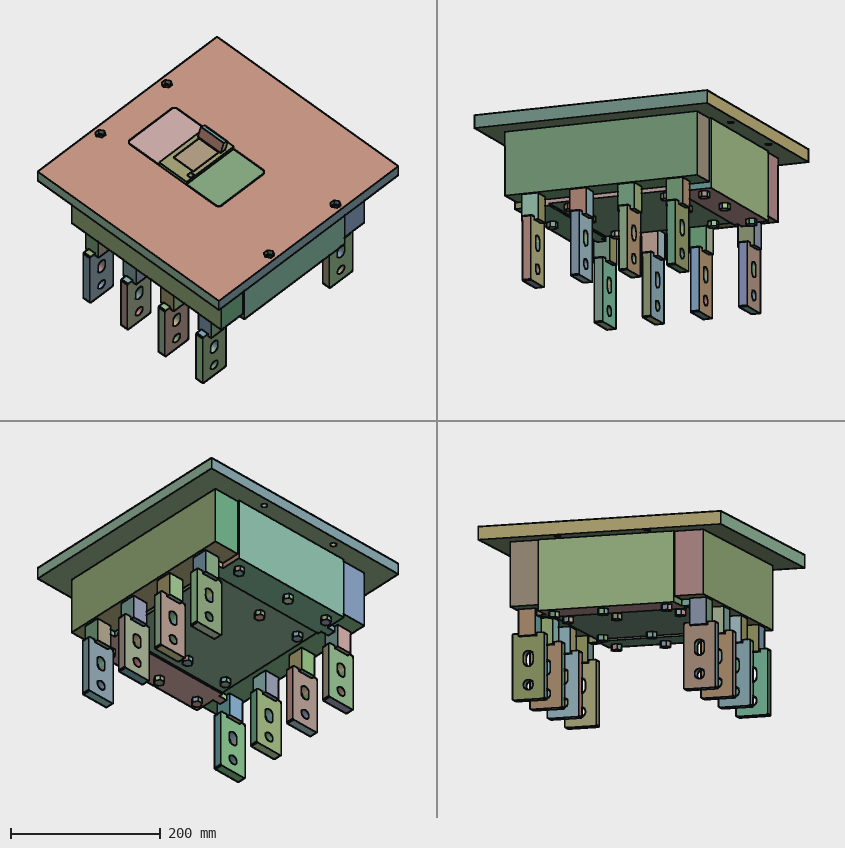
import cadquery as cq
import math


PLATE_X = 338.0
PLATE_Y = 343.0
PLATE_THICK = 18.0
PLATE_HOLE_X = 157.0
PLATE_HOLE_Y = 63.5
PLATE_HOLE_DIA = 8.2

HEX_FLATS = 12.7
HEX_CORNERS = HEX_FLATS / math.cos(math.pi / 6)
HEX_HEIGHT = 7.5

TERMINAL_COUNT = 4
TERMINAL_PITCH = 70.0
TERMINAL_Y = 121.0
STEM_SIDE = 24.0
STEM_BOTTOM = -141.5
BLADE_THICK = 12.5
BLADE_WIDTH = 45.0
BLADE_LENGTH = 90.0
BLADE_BOTTOM = -227.5
BLADE_CHAMFER = 1.5
BLADE_HOLE_DIA = 13.7
ROUND_HOLE_RISE = 20.0
SLOT_RISE = 55.5
SLOT_LENGTH = 21.3

SWITCH_X = -TERMINAL_PITCH / 2
LABEL_X = 170.5
LABEL_Y = 90.2
LABEL_HEIGHT = 1.5
LABEL_CORNER = 5.0
LABEL_CENTRE_Y = -5.0
PANEL_X = 51.0
PANEL_TOP = 6.0

TOGGLE_X = 42.5
TOGGLE_TOP = 21.0
TOGGLE_THICK = 8.2
TOGGLE_FRONT_Y = 19.2
TOGGLE_LEAN = 21.0
RECESS_X = 36.7
RECESS_FRONT_Y = -30.2
RECESS_BACK_Y = 18.5
RECESS_DEPTH = 0.7
BUTTON_SIDE = 7.0
BUTTON_INSET = 1.0
BUTTON_Y = -37.7
BUTTON_HEIGHT = 0.7

HOUSING_X = 279.2
HOUSING_Y = 273.5
HOUSING_BOTTOM = -105.5
CORE_X = 285.0
CORE_Y = 192.0
FOOT_BOTTOM = -114.2
CHANNEL_BOTTOM = -111.5
OUTER_BOLT_X = 125.2
INNER_BOLT_X = TERMINAL_PITCH
BOLT_ROWS_Y = (-79.5, 10.3, 79.5)


def block(size_x, size_y, bottom, top, centre_x=0, centre_y=0):
    """An upright box between two heights."""
    return (
        cq.Workplane("XY", origin=(centre_x, centre_y, bottom))
        .rect(size_x, size_y)
        .extrude(top - bottom)
    )


def hex_prism(bottom, top, centre_x, centre_y):
    """An upright hexagonal prism with its corners pointing along Y."""
    return (
        cq.Workplane("XY", origin=(centre_x, centre_y, bottom))
        .transformed(rotate=(0, 0, 90))
        .polygon(6, HEX_CORNERS)
        .extrude(top - bottom)
    )


def make_toggle():
    """The lever: a leaning slab that starts inside the raised panel."""
    lean = math.radians(TOGGLE_LEAN)
    foot_z = LABEL_HEIGHT
    front_foot_y = TOGGLE_FRONT_Y - (PANEL_TOP - foot_z) * math.tan(lean)
    front_top_y = TOGGLE_FRONT_Y + (TOGGLE_TOP - PANEL_TOP) * math.tan(lean)
    back_top_y = front_top_y + TOGGLE_THICK * math.cos(lean)
    back_top_z = TOGGLE_TOP - TOGGLE_THICK * math.sin(lean)
    back_foot_y = front_foot_y + TOGGLE_THICK / math.cos(lean)
    return (
        cq.Workplane("YZ", origin=(SWITCH_X, 0, 0))
        .polyline([
            (front_foot_y, foot_z),
            (front_top_y, TOGGLE_TOP),
            (back_top_y, back_top_z),
            (back_foot_y, foot_z),
        ])
        .close()
        .extrude(TOGGLE_X / 2, both=True)
    )


def make_cover():
    """The cover plate with its screw holes, label, switch panel and toggle."""
    cover = block(PLATE_X, PLATE_Y, -PLATE_THICK, 0)
    for x in (-PLATE_HOLE_X, PLATE_HOLE_X):
        for y in (-PLATE_HOLE_Y, PLATE_HOLE_Y):
            hole = cq.Workplane("XY", origin=(x, y, -PLATE_THICK)).circle(PLATE_HOLE_DIA / 2)
            cover = cover.cut(hole.extrude(PLATE_THICK))
            cover = cover.cut(hex_prism(-HEX_HEIGHT, 0, x, y))

    label = block(LABEL_X, LABEL_Y, 0, LABEL_HEIGHT, SWITCH_X, LABEL_CENTRE_Y)
    cover = cover.union(label.edges("|Z").fillet(LABEL_CORNER))
    cover = cover.union(block(PANEL_X, LABEL_Y, 0, PANEL_TOP, SWITCH_X, LABEL_CENTRE_Y))

    recess_y = RECESS_BACK_Y - RECESS_FRONT_Y
    recess_centre_y = (RECESS_BACK_Y + RECESS_FRONT_Y) / 2
    recess = block(RECESS_X, recess_y, PANEL_TOP - RECESS_DEPTH, PANEL_TOP, SWITCH_X, recess_centre_y)
    button_x = SWITCH_X + (PANEL_X - BUTTON_SIDE) / 2 - BUTTON_INSET
    button = block(BUTTON_SIDE, BUTTON_SIDE, 0, PANEL_TOP + BUTTON_HEIGHT, button_x, BUTTON_Y)
    return cover.cut(recess).union(make_toggle()).union(button)


def make_terminal(x, y):
    """A square stem holding a flat blade with a round hole and a slot."""
    stem = block(STEM_SIDE, STEM_SIDE, STEM_BOTTOM, HOUSING_BOTTOM, x, y)
    blade = block(BLADE_THICK, BLADE_WIDTH, BLADE_BOTTOM, BLADE_BOTTOM + BLADE_LENGTH, x, y)
    blade = blade.edges("|X").chamfer(BLADE_CHAMFER)
    round_hole = cq.Workplane("YZ", origin=(x, y, BLADE_BOTTOM + ROUND_HOLE_RISE))
    round_hole = round_hole.circle(BLADE_HOLE_DIA / 2)
    slot = cq.Workplane("YZ", origin=(x, y, BLADE_BOTTOM + SLOT_RISE))
    slot = slot.slot2D(SLOT_LENGTH, BLADE_HOLE_DIA, 90)
    for opening in (round_hole, slot):
        blade = blade.cut(opening.extrude(BLADE_THICK, both=True))
    return stem.union(blade)


def make_base():
    """The breaker base below the plate, with its terminals and bolt heads."""
    first_x = -TERMINAL_PITCH * (TERMINAL_COUNT - 1) / 2
    channel_x = -2 * first_x - STEM_SIDE
    base = block(HOUSING_X, HOUSING_Y, HOUSING_BOTTOM, -PLATE_THICK)
    base = base.union(block(CORE_X, CORE_Y, FOOT_BOTTOM, -PLATE_THICK))
    base = base.cut(block(channel_x, CORE_Y, FOOT_BOTTOM, CHANNEL_BOTTOM))

    for x in (first_x, -first_x):
        base = base.union(block(BLADE_THICK, 2 * TERMINAL_Y, FOOT_BOTTOM, HOUSING_BOTTOM, x))

    for index in range(TERMINAL_COUNT):
        for y in (-TERMINAL_Y, TERMINAL_Y):
            base = base.union(make_terminal(first_x + index * TERMINAL_PITCH, y))

    for bolt_x, seat in ((OUTER_BOLT_X, FOOT_BOTTOM), (INNER_BOLT_X, CHANNEL_BOTTOM)):
        for x in (-bolt_x, bolt_x):
            for y in BOLT_ROWS_Y:
                base = base.union(hex_prism(seat - HEX_HEIGHT, seat, x, y))
    return base


cover = make_cover()
base = make_base()

result = cq.Compound.makeCompound([cover.solids().val(), base.solids().val()])